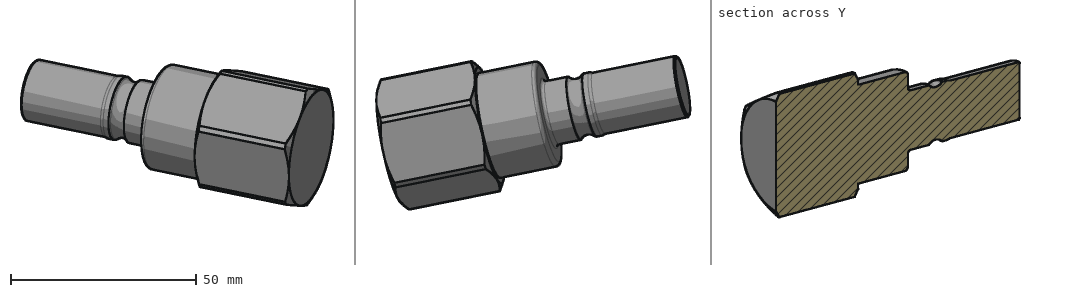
import cadquery as cq
import math

length = 81.4

stem_radius = 16.9 / 2
tip_chamfer = 0.4
rib_radius = 17.5 / 2
rib_ramp_start = 23.4
rib_start = 24.25

groove_centre = 28.2
groove_floor_radius = 7.7
groove_edge_radius = 8.5
groove_half_width = 1.9
groove_start = groove_centre - groove_half_width
groove_end = groove_centre + groove_half_width
groove_edge_length = 0.5
shoulder_edge_length = 0.25

collar_radius = 29.0 / 2
collar_start = 37.3
collar_fillet = 1.1
neck_fillet = 1.0

hex_start = 53.9
hex_across_flats = 32.0
hex_corner_radius = 36.1 / 2
hex_turn = 1.0
hex_chamfer_angle = 30.0


def quarter_arc_point(centre_x, centre_r, radius, x_sign, r_sign):
    """Middle point of a quarter-circle fillet in the turned profile."""
    offset = radius * math.sqrt(0.5)
    return (centre_x + x_sign * offset, centre_r + r_sign * offset)


def make_turned_front():
    """Stem, rib, groove, shoulder and collar as one turned body."""
    neck_fillet_x = collar_start - neck_fillet
    neck_fillet_r = rib_radius + neck_fillet
    collar_fillet_x = collar_start + collar_fillet
    collar_fillet_r = collar_radius - collar_fillet
    profile = (
        cq.Workplane("XY")
        .lineTo(0, stem_radius - tip_chamfer)
        .lineTo(tip_chamfer, stem_radius)
        .lineTo(rib_ramp_start, stem_radius)
        .lineTo(rib_start, rib_radius)
        .lineTo(groove_start - groove_edge_length, rib_radius)
        .lineTo(groove_start, groove_edge_radius)
        .threePointArc((groove_centre, groove_floor_radius), (groove_end, groove_edge_radius))
        .lineTo(groove_end + shoulder_edge_length, rib_radius)
        .lineTo(neck_fillet_x, rib_radius)
        .threePointArc(
            quarter_arc_point(neck_fillet_x, neck_fillet_r, neck_fillet, 1, -1),
            (collar_start, neck_fillet_r),
        )
        .lineTo(collar_start, collar_fillet_r)
        .threePointArc(
            quarter_arc_point(collar_fillet_x, collar_fillet_r, collar_fillet, -1, 1),
            (collar_fillet_x, collar_radius),
        )
        .lineTo(hex_start, collar_radius)
        .lineTo(hex_start, 0)
        .close()
    )
    return profile.revolve(360, (0, 0, 0), (1, 0, 0))


def make_hex_body():
    """Hexagonal prism with rounded corners and conical chamfers at both ends."""
    hex_length = length - hex_start
    across_corners = hex_across_flats / math.cos(math.radians(30))
    prism = (
        cq.Workplane("YZ", origin=(hex_start, 0, 0))
        .polygon(6, across_corners)
        .extrude(hex_length)
        .rotate((0, 0, 0), (1, 0, 0), 90 + hex_turn)
    )
    chamfer_radial = hex_corner_radius - hex_across_flats / 2
    chamfer_axial = chamfer_radial * math.tan(math.radians(hex_chamfer_angle))
    envelope = (
        cq.Workplane("YZ", origin=(hex_start, 0, 0))
        .circle(hex_corner_radius)
        .extrude(hex_length)
        .faces("<X or >X")
        .edges()
        .chamfer(chamfer_axial, chamfer_radial)
    )
    return prism.intersect(envelope)


result = make_turned_front().union(make_hex_body())